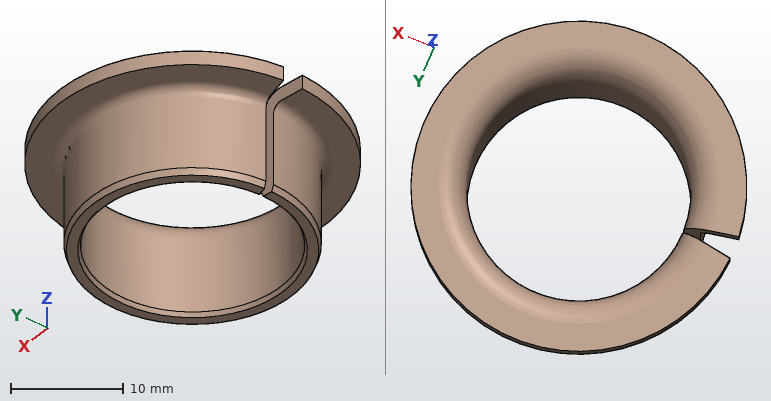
import cadquery as cq
import math

flange_diameter = 29.98
wall = 1.5
height = 11.0
bore_diameter = 20.0
bend_outer_radius = 1.0
bend_inner_radius = bend_outer_radius + wall
outer_chamfer_height = 0.65
outer_chamfer_width = 0.25
bore_chamfer_height = 0.45
bore_chamfer_width = 0.25
slit_flank_angle = 10.0
slit_apex_distance = 9.0

flange_radius = flange_diameter / 2
bore_radius = bore_diameter / 2
tube_radius = bore_radius + wall
bend_center_radius = bore_radius + bend_inner_radius


def bushing_body():
    """Revolve the L-shaped wall section, whose two bend arcs are concentric."""
    bend_z = -bend_inner_radius
    diagonal = math.sqrt(0.5)

    def bend_midpoint(radius):
        return (bend_center_radius - radius * diagonal, bend_z + radius * diagonal)

    section = (
        cq.Workplane("XZ")
        .moveTo(bore_radius + bore_chamfer_width, -height)
        .lineTo(bore_radius, -height + bore_chamfer_height)
        .lineTo(bore_radius, bend_z)
        .threePointArc(bend_midpoint(bend_inner_radius), (bend_center_radius, 0))
        .lineTo(flange_radius, 0)
        .lineTo(flange_radius, -wall)
        .lineTo(bend_center_radius, -wall)
        .threePointArc(bend_midpoint(bend_outer_radius), (tube_radius, bend_z))
        .lineTo(tube_radius, -height + outer_chamfer_height)
        .lineTo(tube_radius - outer_chamfer_width, -height)
        .close()
    )
    return section.revolve(360, (0, 0, 0), (0, 1, 0)).rotate((0, 0, 0), (0, 0, 1), 180)


def slit_wedge():
    """Full-height wedge that opens the ring on its -X side."""
    wedge_end = flange_diameter
    half_width = (wedge_end - slit_apex_distance) * math.tan(math.radians(slit_flank_angle))
    return (
        cq.Workplane("XY")
        .polyline([(-slit_apex_distance, 0), (-wedge_end, half_width), (-wedge_end, -half_width)])
        .close()
        .extrude(-height)
    )


result = bushing_body().cut(slit_wedge())